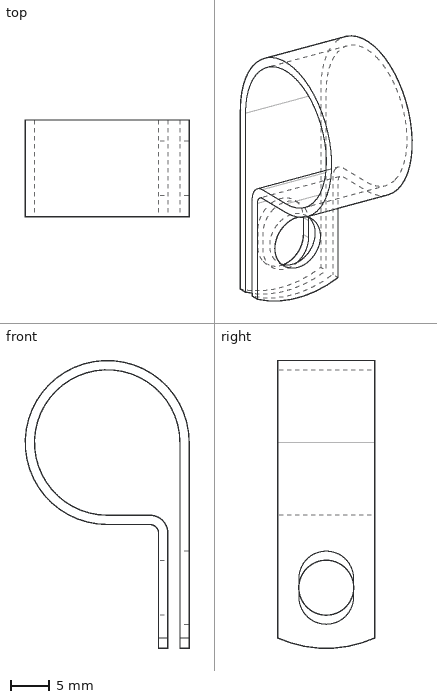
import cadquery as cq
import math

height = 37.67
loop_diameter = 21.47
width = 12.7
thickness = 1.25
leg_gap = 1.55
bend_inner_radius = 1.13
hole_diameter = 7.15
hole_height = 7.95
slot_length = 9.55
end_arc_rise = 1.35

outer_radius = loop_diameter / 2
inner_radius = outer_radius - thickness
loop_z = height - outer_radius
bend_outer_radius = bend_inner_radius + thickness
short_leg_right = inner_radius - leg_gap
short_leg_left = short_leg_right - thickness
bend_x = short_leg_right - bend_outer_radius
shelf_top = loop_z - inner_radius
shelf_bottom = loop_z - outer_radius
bend_z = shelf_top - bend_outer_radius


def arc_point(center_x, center_z, radius, angle):
    """Point on a circle in the XZ plane, with the angle in degrees from +X."""
    radians = math.radians(angle)
    return (center_x + radius * math.cos(radians), center_z + radius * math.sin(radians))


def make_strap():
    """Strap of constant thickness: long leg, loop, shelf, bend and short leg."""
    loop_middle_angle = 135
    bend_middle_angle = 45
    return (
        cq.Workplane("XZ")
        .moveTo(outer_radius, 0)
        .lineTo(outer_radius, loop_z)
        .threePointArc(arc_point(0, loop_z, outer_radius, loop_middle_angle), (0, shelf_bottom))
        .lineTo(bend_x, shelf_bottom)
        .threePointArc(
            arc_point(bend_x, bend_z, bend_inner_radius, bend_middle_angle),
            (short_leg_left, bend_z),
        )
        .lineTo(short_leg_left, 0)
        .lineTo(short_leg_right, 0)
        .lineTo(short_leg_right, bend_z)
        .threePointArc(
            arc_point(bend_x, bend_z, bend_outer_radius, bend_middle_angle),
            (bend_x, shelf_top),
        )
        .lineTo(0, shelf_top)
        .threePointArc(arc_point(0, loop_z, inner_radius, loop_middle_angle), (inner_radius, loop_z))
        .lineTo(inner_radius, 0)
        .close()
        .extrude(width / 2, both=True)
    )


def make_end_envelope():
    """Block around the strap whose lower face rounds the tips of both legs."""
    return (
        cq.Workplane("YZ")
        .moveTo(-width / 2, height)
        .lineTo(-width / 2, end_arc_rise)
        .threePointArc((0, 0), (width / 2, end_arc_rise))
        .lineTo(width / 2, height)
        .close()
        .extrude(outer_radius, both=True)
    )


def make_screw_hole():
    """Round hole through the short leg."""
    return (
        cq.Workplane("YZ", origin=(short_leg_left, 0, hole_height))
        .circle(hole_diameter / 2)
        .extrude(thickness)
    )


def make_screw_slot():
    """Upright slot through the long leg, centred on the screw hole."""
    vertical = 90
    return (
        cq.Workplane("YZ", origin=(inner_radius, 0, hole_height))
        .slot2D(slot_length, hole_diameter, vertical)
        .extrude(thickness)
    )


strap = make_strap().intersect(make_end_envelope())
result = strap.cut(make_screw_hole()).cut(make_screw_slot())